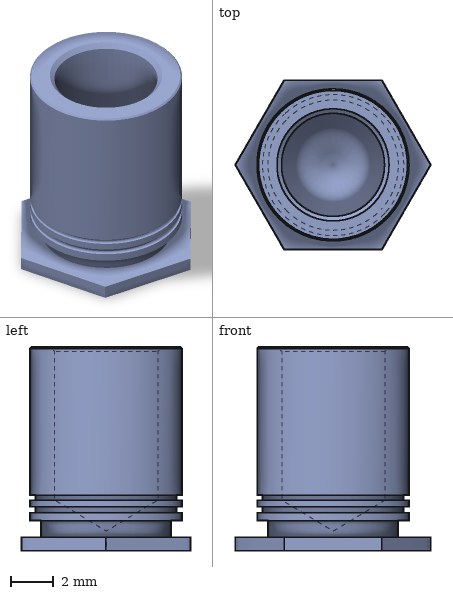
import cadquery as cq
import math

total_height = 9.53
hex_across_flats = 7.92
hex_across_corners = hex_across_flats / math.cos(math.radians(30))

neck_diameter = 6.1
groove_diameter = 6.6
barrel_diameter = 7.11

head_top = 0.64
neck_top = 1.41
lower_groove_bottom = 1.78
lower_groove_top = 2.05
upper_groove_bottom = 2.37
upper_groove_top = 2.6
rim_chamfer = 0.08

bore_diameter = 4.82
bore_mouth_diameter = 5.24
bore_depth = 7.15
drill_point_angle = 118.0
mouth_chamfer = (bore_mouth_diameter - bore_diameter) / 2
drill_point_height = bore_diameter / 2 / math.tan(math.radians(drill_point_angle / 2))


def cylinder(diameter, bottom, top):
    """Upright cylinder about the Z axis between two heights."""
    return cq.Workplane("XY").workplane(offset=bottom).circle(diameter / 2).extrude(top - bottom)


def ring_groove(bottom, top):
    """Cutter for a square groove around the barrel."""
    return cylinder(barrel_diameter, bottom, top).cut(cylinder(groove_diameter, bottom, top))


def blind_bore():
    """Cutter for the bore, its chamfered mouth and its conical bottom."""
    bore_radius = bore_diameter / 2
    bore_floor = total_height - bore_depth
    return (
        cq.Workplane("XZ")
        .moveTo(0, bore_floor - drill_point_height)
        .lineTo(bore_radius, bore_floor)
        .lineTo(bore_radius, total_height - mouth_chamfer)
        .lineTo(bore_mouth_diameter / 2, total_height)
        .lineTo(0, total_height)
        .close()
        .revolve(360, (0, 0, 0), (0, 1, 0))
    )


head = cq.Workplane("XY").polygon(6, hex_across_corners).extrude(head_top)
neck = cylinder(neck_diameter, head_top, neck_top)
barrel = cylinder(barrel_diameter, neck_top, total_height).faces(">Z").edges().chamfer(rim_chamfer)

result = head.union(neck).union(barrel)
result = result.cut(ring_groove(lower_groove_bottom, lower_groove_top))
result = result.cut(ring_groove(upper_groove_bottom, upper_groove_top))
result = result.cut(blind_bore())